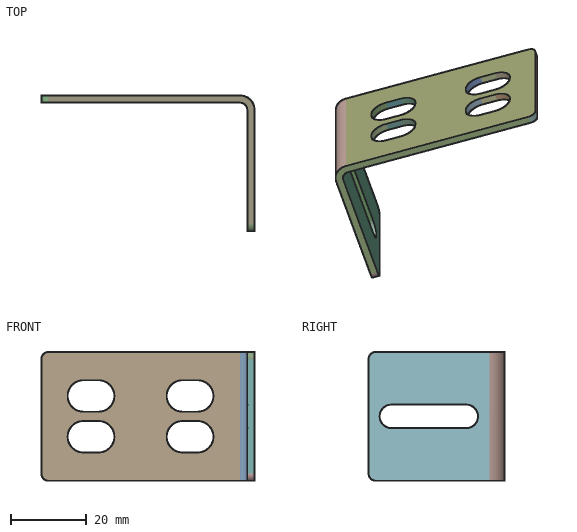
import cadquery as cq

length = 56.4
depth = 36.0
height = 34.1

thickness = 2.0
inner_bend_radius = 2.0
outer_bend_radius = inner_bend_radius + thickness
corner_radius = 2.0

long_slot_length = 12.3
long_slot_width = 8.25
long_slot_first_x = 13.15
long_slot_pitch_x = 26.15
long_slot_pitch_z = 10.8

short_slot_length = 25.95
short_slot_width = 6.15
short_slot_from_back = 20.0


def bent_sheet():
    """L-shaped sheet: back face on Y = 0, free long edge at X = 0, centred on Z = 0."""
    sheet = (
        cq.Workplane("XY")
        .moveTo(0, 0)
        .lineTo(length, 0)
        .lineTo(length, -depth)
        .lineTo(length - thickness, -depth)
        .lineTo(length - thickness, -thickness)
        .lineTo(0, -thickness)
        .close()
        .extrude(height / 2, both=True)
    )
    inner_corner = cq.NearestToPointSelector((length - thickness, -thickness, 0))
    outer_corner = cq.NearestToPointSelector((length, 0, 0))
    sheet = sheet.edges("|Z").edges(inner_corner).fillet(inner_bend_radius)
    return sheet.edges("|Z").edges(outer_corner).fillet(outer_bend_radius)


def round_free_corners(sheet):
    """Round the two outer corners at the free end of each flange."""
    sheet = sheet.faces("<X").edges("|Y").fillet(corner_radius)
    return sheet.faces("<Y").edges("|X").fillet(corner_radius)


def long_flange_slots():
    centers = [
        (long_slot_first_x + column * long_slot_pitch_x, side * long_slot_pitch_z / 2)
        for column in (0, 1)
        for side in (-1, 1)
    ]
    return (
        cq.Workplane("XZ")
        .pushPoints(centers)
        .slot2D(long_slot_length, long_slot_width)
        .extrude(thickness)
    )


def short_flange_slot():
    return (
        cq.Workplane("YZ", origin=(length - thickness, 0, 0))
        .center(-short_slot_from_back, 0)
        .slot2D(short_slot_length, short_slot_width)
        .extrude(thickness)
    )


bracket = round_free_corners(bent_sheet())
result = bracket.cut(long_flange_slots()).cut(short_flange_slot())